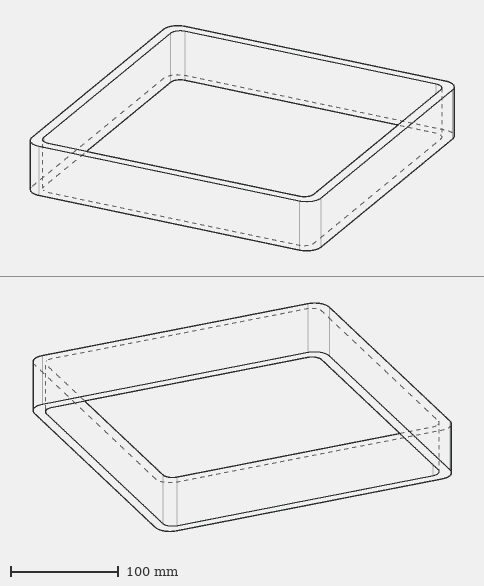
import cadquery as cq

side = 300.0
height = 50.0
wall = 10.0
outer_radius = 15.0
inner_radius = 10.0


def rounded_square_block(width, corner_radius):
    """Square block centred on the Z axis with rounded vertical edges."""
    block = cq.Workplane("XY").rect(width, width).extrude(height)
    return block.edges("|Z").fillet(corner_radius)


outer_block = rounded_square_block(side, outer_radius)
opening = rounded_square_block(side - 2 * wall, inner_radius)

result = outer_block.cut(opening)